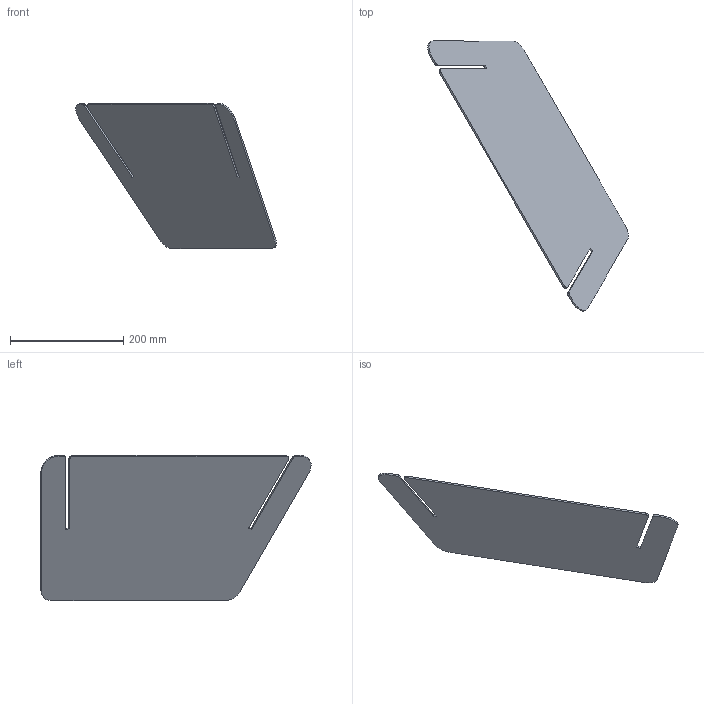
import cadquery as cq
import math

plate_height = 293.40
plate_thickness = 3.0
bottom_width = 393.35
plate_tilt = 60.0
side_turn = 60.0
plate_turn = 120.0
outer_radius = 25.0
slot_width = 7.2
slot_end_height = 145.5
slot_offset = 53.0
slot_mouth_radius = 6.0
slot_end_radius = 1.5
slot_cutter_length = plate_height
pick_margin = 1.0

side_flare = math.cos(math.radians(plate_tilt)) / math.tan(math.radians(side_turn))
side_angle = math.atan(side_flare)


def half_width(height):
    """Half of the sharp-cornered width at a height above the bottom edge."""
    return bottom_width / 2 + side_flare * height


def blank():
    """Trapezoid with a horizontal bottom edge and rounded corners."""
    bottom = half_width(0)
    top = half_width(plate_height)
    outline = [(-bottom, 0), (bottom, 0), (top, plate_height), (-top, plate_height)]
    sharp = cq.Workplane("XY").polyline(outline).close().extrude(plate_thickness)
    return sharp.edges("|Z").fillet(outer_radius)


def slot(side):
    """Cutter for the slot parallel to one side edge, open at the top edge."""
    upright = (
        cq.Workplane("XY")
        .rect(slot_width, slot_cutter_length)
        .extrude(plate_thickness)
        .translate((0, slot_cutter_length / 2, 0))
        .edges("|Z and <Y")
        .fillet(slot_end_radius)
    )
    parallel = upright.rotate((0, 0, 0), (0, 0, 1), -side * math.degrees(side_angle))
    centre = half_width(slot_end_height) - slot_offset
    return parallel.translate((side * centre, slot_end_height, 0))


def slot_mouths():
    """Selector for the four corners where the slots open through the top edge."""
    reach = half_width(plate_height) - slot_offset + slot_width
    return cq.selectors.BoxSelector(
        (-reach, plate_height - pick_margin, -pick_margin),
        (reach, plate_height + pick_margin, plate_thickness + pick_margin),
    )


def flat_plate():
    """Slotted plate lying flat, bottom edge along X."""
    plate = blank()
    for side in (-1, 1):
        plate = plate.cut(slot(side))
    return plate.edges("|Z").edges(slot_mouths()).fillet(slot_mouth_radius)


def lean_and_turn(plate):
    """Raise the plate about its bottom edge, then swing it about the vertical."""
    leaning = plate.rotate((0, 0, 0), (1, 0, 0), plate_tilt)
    return leaning.rotate((0, 0, 0), (0, 0, 1), plate_turn)


result = lean_and_turn(flat_plate())